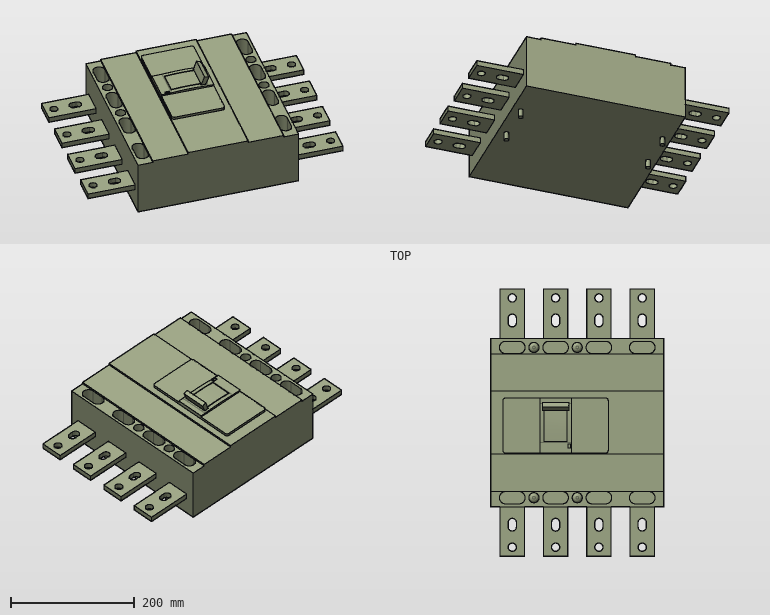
import cadquery as cq
import math


body_width = 280.0
body_length = 273.0
body_height = 96.0
step_height = 3.0
lower_step_length = 222.5
upper_step_length = 102.0
lower_step_top = body_height + step_height
upper_step_top = lower_step_top + step_height

pole_count = 4
pole_pitch = 70.0
pole_xs = [(i - (pole_count - 1) / 2) * pole_pitch for i in range(pole_count)]

overall_length = 433.0
terminal_width = 40.0
terminal_thickness = 9.5
front_terminal_bottom = 35.0
back_terminal_bottom = 31.5
terminal_reach = (overall_length - body_length) / 2
terminal_hole_diameter = 13.0
terminal_hole_y = 201.8
terminal_slot_length = 20.5
terminal_slot_y = 165.5

end_row_y = 121.5
pocket_length = 41.5
pocket_width = 20.0
pocket_depth = 43.5
screw_xs = [-pole_pitch, 0.0]
screw_head_diameter = 16.5
screw_head_height = 7.0
screw_head_rounding = 6.0
screw_shank_diameter = 8.0
screw_protrusion = 13.5
pocket_floor_z = body_height - pocket_depth

plate_left = -120.5
plate_width = 170.5
plate_front = -49.5
plate_length = 89.0
plate_top = 106.5
plate_corner_radius = 4.5
ridge_left = -60.5
ridge_width = 51.0
ridge_top = 109.0
ridge_centre_x = ridge_left + ridge_width / 2

guide_front = -32.0
guide_back = 30.7
guide_rise = 1.5
slide_width = 37.0
slide_front = -30.5
slide_back = 21.5
slide_proud = 1.0

lever_width = 43.0
lever_thickness = 8.0
lever_lean = 20.5
lever_top_z = 125.5
lever_top_y = 25.0

button_width = 4.0
button_length = 7.0
button_depth = 1.5
button_centre_y = -38.0
button_margin = 1.5


def block(x_left, y_front, z_bottom, width, length, height):
    """A box placed by its left, front, bottom corner."""
    corner = cq.Workplane("XY", origin=(x_left, y_front, z_bottom))
    return corner.box(width, length, height, centered=False)


def centred_block(length, z_bottom, z_top):
    """A full-width box centred on the origin in X and Y."""
    return block(-body_width / 2, -length / 2, z_bottom, body_width, length, z_top - z_bottom)


def side_profile(centre_x, width):
    """A YZ sketch plane whose extrusion of the given width is centred on centre_x."""
    return cq.Workplane("YZ", origin=(centre_x - width / 2, 0, 0))


def stepped_body():
    body = centred_block(body_length, 0, body_height)
    body = body.union(centred_block(lower_step_length, body_height, lower_step_top))
    return body.union(centred_block(upper_step_length, lower_step_top, upper_step_top))


def terminal(x, end, z_bottom):
    """A drilled and slotted bar sticking out at the front (end = -1) or the back (end = 1)."""
    bar_y = end * (body_length + terminal_reach) / 2
    bar = (
        cq.Workplane("XY", origin=(x, bar_y, z_bottom))
        .rect(terminal_width, terminal_reach)
        .extrude(terminal_thickness)
    )
    hole = (
        cq.Workplane("XY", origin=(x, end * terminal_hole_y, z_bottom))
        .circle(terminal_hole_diameter / 2)
        .extrude(terminal_thickness)
    )
    slot = (
        cq.Workplane("XY", origin=(x, end * terminal_slot_y, z_bottom))
        .slot2D(terminal_slot_length, terminal_hole_diameter, 90)
        .extrude(terminal_thickness)
    )
    return bar.cut(hole).cut(slot)


def cover_plate():
    plate_height = plate_top - upper_step_top
    ridge_height = ridge_top - upper_step_top
    plate = block(plate_left, plate_front, upper_step_top, plate_width, plate_length, plate_height)
    plate = plate.edges("|Z").fillet(plate_corner_radius)
    ridge = block(ridge_left, plate_front, upper_step_top, ridge_width, plate_length, ridge_height)
    return plate.union(ridge)


def arched_guide():
    """A shallow arch as wide as the ridge, with the slightly higher toggle slide on it."""
    centre_y = (guide_front + guide_back) / 2
    guide = (
        side_profile(ridge_centre_x, ridge_width)
        .moveTo(guide_front, ridge_top)
        .threePointArc((centre_y, ridge_top + guide_rise), (guide_back, ridge_top))
        .close()
        .extrude(ridge_width)
    )
    slide = (
        side_profile(ridge_centre_x, slide_width)
        .moveTo(guide_front, upper_step_top)
        .lineTo(guide_front, ridge_top + slide_proud)
        .threePointArc(
            (centre_y, ridge_top + guide_rise + slide_proud),
            (guide_back, ridge_top + slide_proud),
        )
        .lineTo(guide_back, upper_step_top)
        .close()
        .extrude(slide_width)
    )
    slide_extent = block(
        ridge_left,
        slide_front,
        upper_step_top,
        ridge_width,
        slide_back - slide_front,
        lever_top_z - upper_step_top,
    )
    return guide.union(slide.intersect(slide_extent))


def toggle_lever():
    """A flat paddle whose root is buried in the ridge."""
    lean = math.radians(lever_lean)
    root_depth = lever_top_z - plate_top
    root_shift = root_depth * math.tan(lean)
    overhang = lever_thickness * math.cos(lean)
    drop = lever_thickness * math.sin(lean)
    root_length = lever_thickness / math.cos(lean)
    return (
        side_profile(ridge_centre_x, lever_width)
        .moveTo(lever_top_y, lever_top_z)
        .lineTo(lever_top_y + overhang, lever_top_z - drop)
        .lineTo(lever_top_y - root_shift + root_length, plate_top)
        .lineTo(lever_top_y - root_shift, plate_top)
        .close()
        .extrude(lever_width)
    )


def trip_button_recess():
    return block(
        ridge_left + ridge_width - button_margin - button_width,
        button_centre_y - button_length / 2,
        ridge_top - button_depth,
        button_width,
        button_length,
        button_depth,
    )


def access_pocket(x, y):
    return (
        cq.Workplane("XY", origin=(x, y, pocket_floor_z))
        .slot2D(pocket_length, pocket_width)
        .extrude(pocket_depth)
    )


def screw_hole(x, y):
    """A through bore for the shank and a counterbore for the head."""
    bore = cq.Workplane("XY", origin=(x, y, 0)).circle(screw_shank_diameter / 2).extrude(pocket_floor_z)
    counterbore = (
        cq.Workplane("XY", origin=(x, y, pocket_floor_z))
        .circle(screw_head_diameter / 2)
        .extrude(pocket_depth)
    )
    return bore.union(counterbore)


def make_housing():
    body = stepped_body().union(cover_plate()).union(arched_guide()).union(toggle_lever())
    body = body.cut(trip_button_recess())
    for x in pole_xs:
        body = body.union(terminal(x, -1, front_terminal_bottom))
        body = body.union(terminal(x, 1, back_terminal_bottom))
        for y in (-end_row_y, end_row_y):
            body = body.cut(access_pocket(x, y))
    for x in screw_xs:
        for y in (-end_row_y, end_row_y):
            body = body.cut(screw_hole(x, y))
    return body


def make_screw(x, y):
    """A round-headed screw that seats in its counterbore and sticks out below the housing."""
    head = (
        cq.Workplane("XY", origin=(x, y, pocket_floor_z))
        .circle(screw_head_diameter / 2)
        .extrude(screw_head_height)
        .faces(">Z")
        .edges()
        .fillet(screw_head_rounding)
    )
    shank = (
        cq.Workplane("XY", origin=(x, y, -screw_protrusion))
        .circle(screw_shank_diameter / 2)
        .extrude(screw_protrusion + pocket_floor_z)
    )
    return head.union(shank)


housing = make_housing()
screws = [make_screw(x, y) for x in screw_xs for y in (-end_row_y, end_row_y)]

result = cq.Compound.makeCompound([housing.val(), *[screw.val() for screw in screws]])